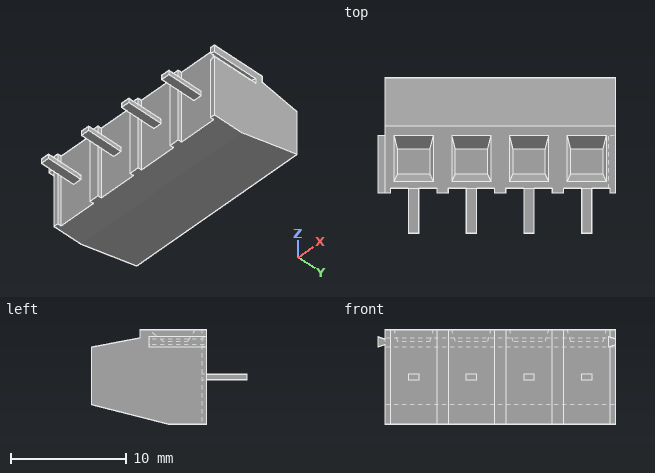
import cadquery as cq


pole_count = 4
pitch = 5.0
body_length = pole_count * pitch
body_depth = 10.0
body_height = 8.2

top_deck_depth = 5.8
deck_step = 0.7
back_top_drop = 1.5
back_bottom_rise = 1.7
bottom_flat_depth = 3.3

rib_width = 1.0
recess_width = pitch - rib_width
recess_depth = 0.4

opening_width = 3.4
opening_front = 1.0
opening_back = 5.0
floor_width = 2.8
floor_front = 1.65
floor_back = 3.8
opening_depth = 1.0

pin_width = 0.9
pin_thickness = 0.5
pin_projection = 3.5

dovetail_reach = 0.6
dovetail_length = 5.0
dovetail_root_height = 0.5
dovetail_tip_height = 0.9
dovetail_center_drop = 1.05
dovetail_center_z = body_height - dovetail_center_drop

pole_centers = [(i + 0.5) * pitch for i in range(pole_count)]


def make_housing():
    """Extrude the side profile along X."""
    profile = [
        (0, 0),
        (bottom_flat_depth, 0),
        (body_depth, back_bottom_rise),
        (body_depth, body_height - back_top_drop),
        (top_deck_depth, body_height - deck_step),
        (top_deck_depth, body_height),
        (0, body_height),
    ]
    return cq.Workplane("YZ").polyline(profile).close().extrude(body_length)


def make_recess(center_x):
    """Full-height shallow recess in the pin face."""
    recess = cq.Workplane("XY").box(recess_width, recess_depth, body_height, centered=(True, False, False))
    return recess.translate((center_x, 0, 0))


def make_opening(center_x):
    """Rectangular funnel that narrows from the top deck to a flat floor."""
    rim_y = (opening_front + opening_back) / 2
    floor_y = (floor_front + floor_back) / 2
    return (
        cq.Workplane("XY", origin=(center_x, rim_y, body_height))
        .rect(opening_width, opening_back - opening_front)
        .workplane(offset=-opening_depth)
        .center(0, floor_y - rim_y)
        .rect(floor_width, floor_back - floor_front)
        .loft(ruled=True)
    )


def make_pin(center_x):
    """Flat pin that starts on the recess wall and projects past the ribs."""
    pin = cq.Workplane("XY").box(
        pin_width, recess_depth + pin_projection, pin_thickness, centered=(True, False, True)
    )
    return pin.translate((center_x, -pin_projection, body_height / 2))


def make_dovetail(root_x):
    """Dovetail bar that widens toward -X, starting at root_x."""
    half_root = dovetail_root_height / 2
    half_tip = dovetail_tip_height / 2
    tip_x = root_x - dovetail_reach
    profile = [
        (root_x, dovetail_center_z - half_root),
        (root_x, dovetail_center_z + half_root),
        (tip_x, dovetail_center_z + half_tip),
        (tip_x, dovetail_center_z - half_tip),
    ]
    return cq.Workplane("XZ").polyline(profile).close().extrude(-dovetail_length)


result = make_housing()
for pole_x in pole_centers:
    result = result.cut(make_recess(pole_x))
    result = result.cut(make_opening(pole_x))
    result = result.union(make_pin(pole_x))

result = result.union(make_dovetail(0))
result = result.cut(make_dovetail(body_length))